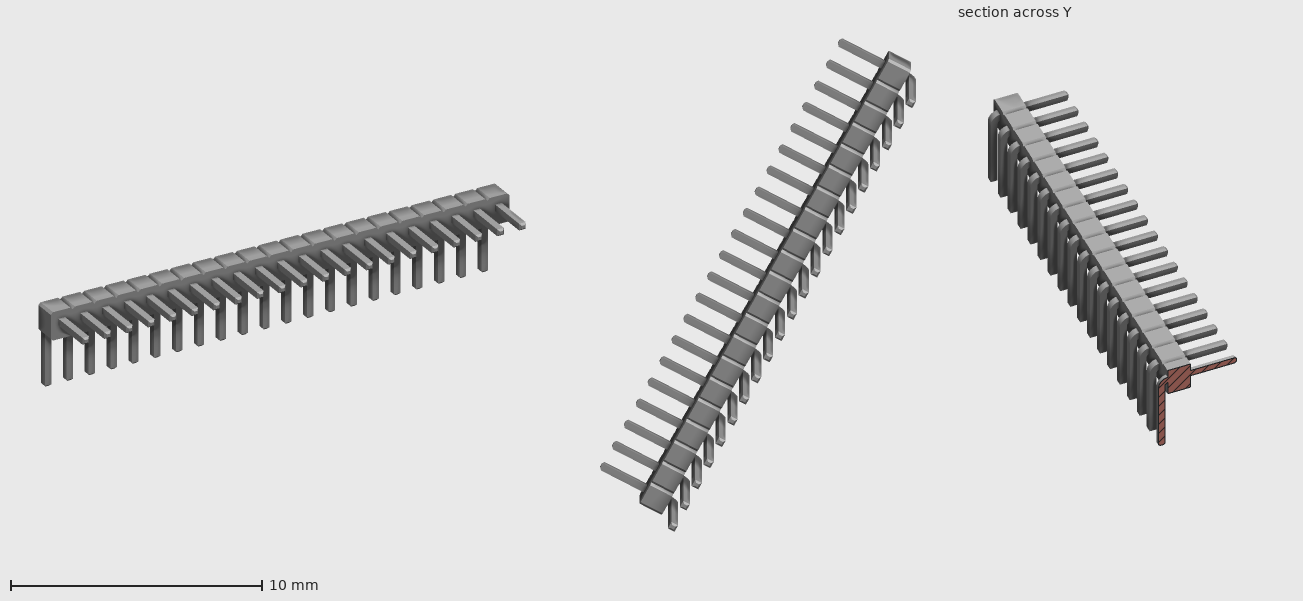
import cadquery as cq

pin_count = 21
pitch = 1.0

housing_width = 1.0
housing_height = 1.27
cell_chamfer = 0.1

pin_size = 0.3
overall_length = 3.4
overall_height = 3.94
pin_top_depth = 0.355
bend_outer_radius = 0.45
leg_standoff = 0.4
bend_inner_radius = bend_outer_radius - pin_size
tip_chamfer = 0.08

leg_outer_x = -leg_standoff
pin_end_x = overall_length - leg_standoff
leg_end_z = housing_height - overall_height
pin_top_z = housing_height - pin_top_depth
pin_bottom_z = pin_top_z - pin_size
bend_center_x = leg_outer_x + bend_outer_radius
bend_center_z = pin_top_z - bend_outer_radius


def make_cell():
    """One housing cell, its four long edges chamfered."""
    return (
        cq.Workplane("XY")
        .box(housing_width, pitch, housing_height, centered=(False, True, False))
        .edges("|X")
        .chamfer(cell_chamfer)
    )


def make_pin():
    """One pin: horizontal run, quarter bend and downward leg, both tips tapered."""
    diagonal = 0.5 ** 0.5
    outer_mid = bend_outer_radius * diagonal
    inner_mid = bend_inner_radius * diagonal
    return (
        cq.Workplane("XZ")
        .moveTo(pin_end_x, pin_top_z)
        .lineTo(bend_center_x, pin_top_z)
        .threePointArc((bend_center_x - outer_mid, bend_center_z + outer_mid), (leg_outer_x, bend_center_z))
        .lineTo(leg_outer_x, leg_end_z)
        .lineTo(leg_outer_x + pin_size, leg_end_z)
        .lineTo(leg_outer_x + pin_size, bend_center_z)
        .threePointArc((bend_center_x - inner_mid, bend_center_z + inner_mid), (bend_center_x, pin_bottom_z))
        .lineTo(pin_end_x, pin_bottom_z)
        .close()
        .extrude(pin_size / 2, both=True)
        .faces(">X or <Z")
        .edges()
        .chamfer(tip_chamfer)
    )


def make_header():
    """Pinned cells joined side by side into one row."""
    pinned_cell = make_cell().union(make_pin()).val()
    first_y = -pitch * (pin_count - 1) / 2
    cells = [pinned_cell.translate(cq.Vector(0, first_y + i * pitch, 0)) for i in range(pin_count)]
    return cq.Workplane(cells[0].fuse(*cells[1:]).clean())


result = make_header()